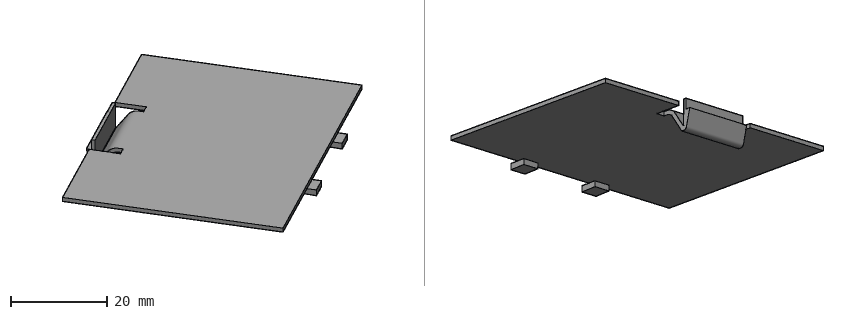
import cadquery as cq
import math

plate_length = 47.5
plate_width = 61.4
plate_thickness = 1.0

latch_width = 16.0
slot_width = 2.0
slot_depth = 6.75

wall_thickness = 0.75
wall_top = 2.15
latch_bottom = -4.8
crotch_bottom = -3.7
catch_reach = 1.15
catch_top = -0.25
arm_angle = math.radians(54)
bend_x = 5.8
bend_outer_radius = 2.95
bend_inner_radius = bend_outer_radius - plate_thickness
toe_corner_x = 0.0
toe_radius = 0.85

tab_length = 4.0
tab_reach = 2.0
tab_width = 4.0
tab_thickness = 1.4
tab_taper = 0.1
tab_spacing = 20.0


def make_plate():
    """Flat cover with a notch for the latch and its two side slots."""
    plate = cq.Workplane("XY").box(
        plate_length, plate_width, plate_thickness, centered=(False, True, False)
    )
    notch_width = latch_width + 2 * slot_width
    notch = cq.Workplane("XY").box(
        slot_depth, notch_width, plate_thickness, centered=(False, True, False)
    )
    return plate.cut(notch)


def bend_point(radius, angle):
    """Point on the arm bend, with the angle measured from its plate end."""
    bend_center_z = plate_thickness - bend_outer_radius
    return (bend_x - radius * math.sin(angle), bend_center_z + radius * math.cos(angle))


def arm_x(start, z):
    """X where the straight arm face through start reaches height z."""
    return start[0] + (z - start[1]) / math.tan(arm_angle)


def make_latch():
    """Constant profile of wall, catch and spring arm, extruded across the latch width."""
    upper_start = bend_point(bend_outer_radius, arm_angle)
    lower_start = bend_point(bend_inner_radius, arm_angle)
    profile = (
        cq.Workplane("XZ")
        .moveTo(0, wall_top)
        .lineTo(wall_thickness, wall_top)
        .lineTo(wall_thickness, crotch_bottom)
        .lineTo(arm_x(upper_start, crotch_bottom), crotch_bottom)
        .lineTo(*upper_start)
        .threePointArc(
            bend_point(bend_outer_radius, arm_angle / 2), bend_point(bend_outer_radius, 0)
        )
        .lineTo(slot_depth, plate_thickness)
        .lineTo(slot_depth, 0)
        .lineTo(bend_x, 0)
        .threePointArc(bend_point(bend_inner_radius, arm_angle / 2), lower_start)
        .lineTo(arm_x(lower_start, latch_bottom), latch_bottom)
        .lineTo(toe_corner_x, latch_bottom)
        .lineTo(-catch_reach, catch_top)
        .lineTo(0, catch_top)
        .close()
    )
    latch = profile.extrude(latch_width / 2, both=True)
    toe_edge = cq.selectors.NearestToPointSelector((toe_corner_x, 0, latch_bottom))
    return latch.edges(toe_edge).fillet(toe_radius)


def make_tab(center_y):
    """Block under the plate that reaches past its right edge, slightly thicker at the tip."""
    tip_x = plate_length + tab_reach
    root_x = tip_x - tab_length
    return (
        cq.Workplane("XZ", origin=(0, center_y, 0))
        .moveTo(root_x, 0)
        .lineTo(tip_x, 0)
        .lineTo(tip_x, -tab_thickness)
        .lineTo(root_x, -tab_thickness + tab_taper)
        .close()
        .extrude(tab_width / 2, both=True)
    )


result = make_plate().union(make_latch())
for side in (-1, 1):
    result = result.union(make_tab(side * tab_spacing / 2))